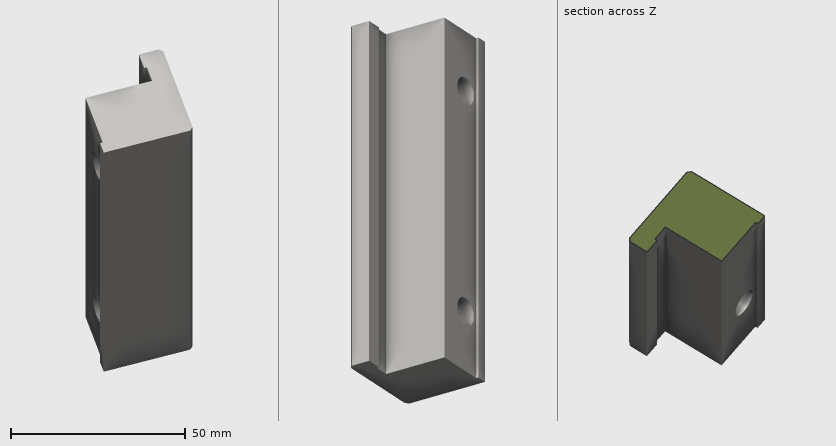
import cadquery as cq

width = 30.0
depth = 27.0
length = 108.0

arm_reach = 10.0
arm_thickness = 7.0
lip_width = 5.0
lip_height = 0.8
heel_width = 3.5
heel_height = 0.8
back_chamfer = 1.0

bolt_diameter = 8.5
bolt_x = 21.0
bolt_spacing = 70.0


def make_bar():
    """Extrude the L-shaped section along Z, with the back face at Y = depth."""
    lip_y = depth - arm_thickness
    relief_y = lip_y + lip_height
    section = [
        (0, depth),
        (0, lip_y),
        (lip_width, lip_y),
        (lip_width, relief_y),
        (arm_reach, relief_y),
        (arm_reach, heel_height),
        (width - heel_width, heel_height),
        (width - heel_width, 0),
        (width, 0),
        (width, depth),
    ]
    bar = cq.Workplane("XY").polyline(section).close().extrude(length)
    return bar.faces(">Y").edges("|Z").chamfer(back_chamfer)


def make_bolt_holes():
    """Two cylinders along Y, spaced evenly about the middle of the bar."""
    bottom_z = (length - bolt_spacing) / 2
    return (
        cq.Workplane("XZ")
        .pushPoints([(bolt_x, bottom_z), (bolt_x, bottom_z + bolt_spacing)])
        .circle(bolt_diameter / 2)
        .extrude(-depth)
    )


result = make_bar().cut(make_bolt_holes())